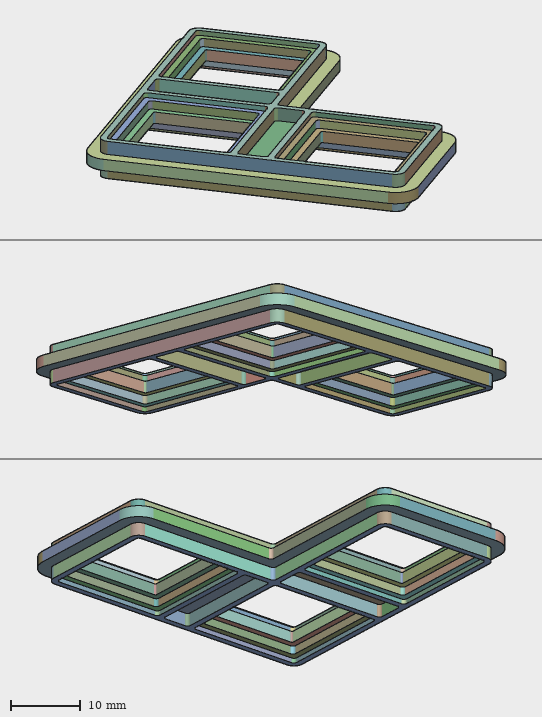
import cadquery as cq

side = 49.5
height = 5.75
flange_thickness = 1.75
flange_overhang = 2.0
wall = 1.0
window_size = 18.5

corner_radius = 1.5
rim_notch_radius = 0.45
body_notch_radius = 0.5
pocket_radius = 0.5
opening_radius = 0.25

upper_depth = 0.75
floor_depth = (height - flange_thickness) / 2

window_edge = flange_overhang + wall
arm_width = window_size + 2 * window_edge
near_center = window_edge + window_size / 2
far_center = side - near_center
middle = (near_center + far_center) / 2
pocket_width = far_center - near_center - window_size - 2 * wall
window_centers = [
    (near_center, near_center),
    (far_center, near_center),
    (near_center, far_center),
]


def l_plate(inset, thickness, outer_radius, notch_radius):
    """L-shaped plate centred on mid-height, set in from the outer edge, with rounded corners."""
    low = inset
    high = side - inset
    notch = arm_width - inset
    plate = (
        cq.Workplane("XY", origin=(0, 0, -thickness / 2))
        .moveTo(low, low)
        .lineTo(high, low)
        .lineTo(high, notch)
        .lineTo(notch, notch)
        .lineTo(notch, high)
        .lineTo(low, high)
        .close()
        .extrude(thickness)
    )
    notch_edge = cq.selectors.NearestToPointSelector((notch, notch, 0))
    vertical_edges = cq.selectors.StringSyntaxSelector("|Z")
    plate = plate.edges(vertical_edges - notch_edge).fillet(outer_radius)
    return plate.edges(notch_edge).fillet(notch_radius)


def recess(center, length, width, depth, radius=pocket_radius):
    """Rounded rectangular cutter reaching down from the top face."""
    return (
        cq.Workplane("XY", origin=(center[0], center[1], height / 2))
        .rect(length, width)
        .extrude(-depth)
        .edges("|Z")
        .fillet(radius)
    )


def cut_both_faces(part, cutter):
    """Cut from the top face and, mirrored about mid-height, from the bottom face."""
    return part.cut(cutter).cut(cutter.mirror("XY"))


flange = l_plate(0, flange_thickness, corner_radius + flange_overhang, rim_notch_radius)
body = l_plate(flange_overhang, height, corner_radius, body_notch_radius)
result = flange.union(body)

ledge_size = window_size - 2 * wall
opening_size = ledge_size - 2 * wall
for center in window_centers:
    result = cut_both_faces(result, recess(center, window_size, window_size, upper_depth))
    result = cut_both_faces(result, recess(center, ledge_size, ledge_size, floor_depth))
    result = result.cut(recess(center, opening_size, opening_size, height, opening_radius))

result = cut_both_faces(result, recess((middle, near_center), pocket_width, window_size, floor_depth))
result = cut_both_faces(result, recess((near_center, middle), window_size, pocket_width, floor_depth))